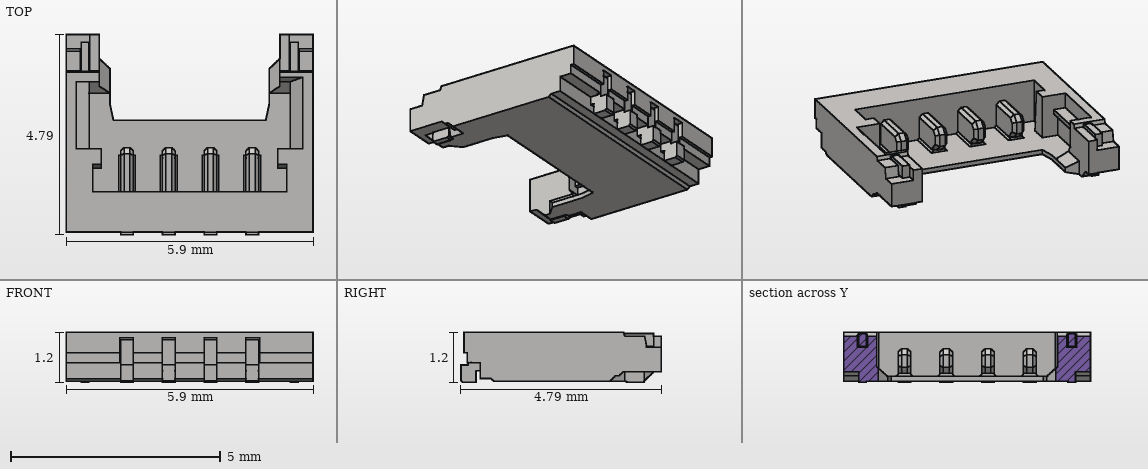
import cadquery as cq

half_width = 2.95
length = 4.72
height = 1.175
floor_top = 0.12
clearance = 0.295

cavity_back = 0.97
upper_step_z = 0.68
upper_step_y = 0.075
tail_roof_z = 0.45
tail_wall_y = 0.39
rear_foot_z = 0.065
rear_foot_start = 0.645
rear_foot_end = 0.72

arm_inner = 2.155
arm_bottom = 0.225
underside_slope_top = 3.805
underside_step_front = 3.71
underside_step_back = 3.63
underside_step_z = 0.135
tip_top = 1.08
tip_rise_bottom = 3.85
tip_rise_top = 3.82
ledge_z = 0.815
ledge_back_bottom = 4.37
ledge_back_top = 4.32
slot_outer = 2.615
slot_inner = 2.385
slot_back = 3.835

cavity_half = 2.32
tooth_inner = 2.105
tooth_back_top = 1.62
tooth_back_bottom = 1.53
tooth_front = 1.99
recess_inner = 2.4
recess_outer = 2.7
recess_end = 3.59
recess_end_top = 3.7
shelf_z = 0.795
undercut_outer = 2.51
undercut_top = 0.685
ramp_start = 3.315
ramp_top = 0.485

opening_back = 2.67
opening_back_half = 1.82
opening_taper_end = 3.055
lip_inner = 1.9
lip_top_at_arm = 0.34
lip_end_inner = 3.9
lip_end_outer = 4.14

block_back = 3.485
block_front_top = 4.54
block_front_bottom = 4.305
block_outer_top = 2.565
block_outer_bottom = 2.5

contact_count = 4
contact_pitch = 1.0
contact_half = 0.155
contact_bottom = 0.19
contact_top = 0.78
contact_tip_end = 2.02
contact_edge_chamfer = 0.08
tip_bevel = 0.15
contact_base_half = 0.2
contact_base_end = 1.835
tail_bottom = -0.025
tail_back = -0.07
tail_front = 0.295
tail_top = 0.39
tail_arm_bottom = 0.25
tail_chamfer = 0.04
stem_y = 0.1
stem_top = 0.99
slot_top = 1.045
stem_slot_depth = 0.175
end_slot_gap = 0.025

nail_inner = 2.41
nail_outer = 2.59
nail_top = 1.145
nail_bottom = 0.83
nail_front = 4.54
nail_foot_back = 3.845
nail_foot_heel = 3.905
nail_foot_front = 4.305


def box(x0, x1, y0, y1, z0, z1):
    return cq.Workplane("XY").box(x1 - x0, y1 - y0, z1 - z0, centered=False).translate((x0, y0, z0))


def prism_x(points_yz, x0, x1):
    return cq.Workplane("YZ").polyline(points_yz).close().extrude(x1 - x0).translate((x0, 0, 0))


def prism_y(points_xz, y0, y1):
    return cq.Workplane("XZ").polyline(points_xz).close().extrude(y0 - y1).translate((0, y0, 0))


def prism_z(points_xy, z0, z1):
    return cq.Workplane("XY").polyline(points_xy).close().extrude(z1 - z0).translate((0, 0, z0))


def both_sides(right_half):
    return right_half.union(right_half.mirror("YZ"))


def housing_block():
    side_profile = [
        (0, height),
        (tip_rise_top, height),
        (tip_rise_bottom, tip_top),
        (length, tip_top),
        (length, 0),
        (rear_foot_end, 0),
        (rear_foot_start, rear_foot_z),
        (tail_wall_y, rear_foot_z),
        (tail_wall_y, tail_roof_z),
        (upper_step_y, tail_roof_z),
        (upper_step_y, upper_step_z),
        (0, upper_step_z),
    ]
    return prism_x(side_profile, -half_width, half_width)


def cavity():
    front = length + clearance
    top = height + clearance
    plan = [
        (0, cavity_back),
        (cavity_half, cavity_back),
        (cavity_half, tooth_back_top),
        (tooth_inner, tooth_back_top),
        (tooth_inner, tooth_front),
        (recess_inner, tooth_front),
        (recess_inner, recess_end),
        (arm_inner, recess_end),
        (arm_inner, front),
        (0, front),
    ]
    undercut = box(arm_inner, undercut_outer, tooth_front, recess_end, floor_top, undercut_top)
    return both_sides(prism_z(plan, floor_top, top).union(undercut))


def left_recess():
    """Straight-sided recess with a flat shelf."""
    return box(-recess_outer, -lip_inner, tooth_front, recess_end, shelf_z, height)


def right_recess():
    """Recess that flares outward and forward towards the top."""
    def outline(plane, outer, end):
        corners = [(lip_inner, tooth_front), (outer, tooth_front), (outer, end), (lip_inner, end)]
        return plane.polyline(corners).close()

    lower = outline(cq.Workplane("XY").workplane(offset=shelf_z), recess_inner, recess_end)
    upper = outline(lower.workplane(offset=height - shelf_z), recess_outer, recess_end_top)
    return upper.loft(ruled=True)


def tooth_backs():
    """Wedges that slope the back faces of the two teeth."""
    wedge = [(tooth_back_top, height), (tooth_back_top, floor_top), (tooth_back_bottom, floor_top)]
    return both_sides(prism_x(wedge, tooth_inner, cavity_half))


def ramps_and_lips():
    ramp_profile = [(ramp_start, floor_top), (recess_end, floor_top), (recess_end, ramp_top)]
    above_ramp = [(ramp_start, floor_top), (recess_end, ramp_top), (ramp_start, ramp_top)]
    lip_profile = [(lip_inner, 0), (arm_inner, 0), (arm_inner, lip_top_at_arm), (lip_inner, floor_top)]
    ramp = prism_x(ramp_profile, arm_inner, undercut_outer)
    lip = prism_y(lip_profile, ramp_start, lip_end_outer)
    return both_sides(lip.cut(prism_x(above_ramp, lip_inner, arm_inner)).union(ramp))


def front_opening():
    front = length + clearance
    plan = [
        (0, opening_back),
        (opening_back_half, opening_back),
        (lip_inner, opening_taper_end),
        (lip_inner, lip_end_inner),
        (arm_inner, lip_end_outer),
        (arm_inner, front),
        (0, front),
    ]
    return both_sides(prism_z(plan, -clearance, height + clearance))


def arm_undersides():
    """Space below the raised arm tips, ending in a stepped slope."""
    front = length + clearance
    profile = [
        (front, -clearance),
        (front, arm_bottom),
        (underside_slope_top, arm_bottom),
        (underside_step_front, underside_step_z),
        (underside_step_back, underside_step_z),
        (block_back, 0),
        (block_back, -clearance),
    ]
    return both_sides(prism_x(profile, arm_inner, half_width + clearance))


def under_arm_blocks():
    section = [
        (arm_inner, 0),
        (block_outer_bottom, 0),
        (block_outer_top, arm_bottom),
        (arm_inner, arm_bottom),
    ]
    front_slope = [(block_front_top, arm_bottom), (block_front_bottom, 0), (block_front_top, 0)]
    block = prism_y(section, block_back, block_front_top)
    return both_sides(block.cut(prism_x(front_slope, arm_inner, block_outer_top)))


def tip_cuts():
    """Nail slots and the low outer ledges at the arm tips."""
    front = length + clearance
    top = height + clearance
    ledge_profile = [
        (front, ledge_z),
        (ledge_back_bottom, ledge_z),
        (ledge_back_top, tip_top),
        (ledge_back_top, top),
        (front, top),
    ]
    ledge = prism_x(ledge_profile, slot_inner, half_width + clearance)
    slot = box(slot_inner, slot_outer, slot_back, front, ledge_z, top)
    return both_sides(ledge.union(slot))


def solder_nails():
    blade = box(nail_inner, nail_outer, slot_back, nail_front, nail_bottom, nail_top)
    foot_profile = [
        (nail_foot_back, arm_bottom),
        (nail_foot_back, 0),
        (nail_foot_heel, tail_bottom),
        (nail_foot_front, tail_bottom),
        (nail_foot_front, arm_bottom),
    ]
    foot = prism_x(foot_profile, nail_inner, nail_outer)
    return both_sides(blade.union(foot))


def contact_blade():
    """Contact with a wedge tip and chamfered edges, standing on a flared base."""
    tip_start = contact_tip_end - tip_bevel
    profile = [
        (cavity_back, contact_bottom),
        (tip_start, contact_bottom),
        (contact_tip_end, contact_bottom + tip_bevel),
        (contact_tip_end, contact_top - tip_bevel),
        (tip_start, contact_top),
        (cavity_back, contact_top),
    ]
    blade = prism_x(profile, -contact_half, contact_half)
    blade = blade.faces("<X or >X").edges("not(<Z or <Y)").chamfer(contact_edge_chamfer)
    flare_top = floor_top + contact_base_half - contact_half
    base_section = [
        (-contact_base_half, floor_top),
        (contact_base_half, floor_top),
        (contact_half, flare_top),
        (contact_half, contact_bottom),
        (-contact_half, contact_bottom),
        (-contact_half, flare_top),
    ]
    return blade.union(prism_y(base_section, cavity_back, contact_base_end))


def contact_tail():
    """Upright stem in the back wall and the solder tail below it."""
    profile = [
        (stem_slot_depth, stem_top),
        (stem_y, stem_top),
        (stem_y, tail_top),
        (tail_back, tail_top),
        (tail_back, tail_bottom + tail_chamfer),
        (tail_back + tail_chamfer, tail_bottom),
        (tail_front, tail_bottom),
        (tail_front, tail_arm_bottom),
        (tail_wall_y, tail_arm_bottom),
        (tail_wall_y, tail_roof_z),
        (stem_slot_depth, tail_roof_z),
    ]
    return prism_x(profile, -contact_half, contact_half)


body = housing_block().cut(cavity()).cut(left_recess()).cut(right_recess())
body = body.union(tooth_backs()).union(ramps_and_lips())
body = body.cut(front_opening()).cut(arm_undersides()).union(under_arm_blocks())
body = body.cut(tip_cuts()).union(solder_nails())

for index in range(contact_count):
    x = (index - (contact_count - 1) / 2) * contact_pitch
    left_gap = end_slot_gap if index == 0 else 0
    right_gap = end_slot_gap if index == contact_count - 1 else 0
    slot_left = x - contact_half - left_gap
    slot_right = x + contact_half + right_gap
    body = body.cut(box(slot_left, slot_right, 0, stem_slot_depth, tail_roof_z, slot_top))
    body = body.union(contact_tail().translate((x, 0, 0)))
    body = body.union(contact_blade().translate((x, 0, 0)))

result = body